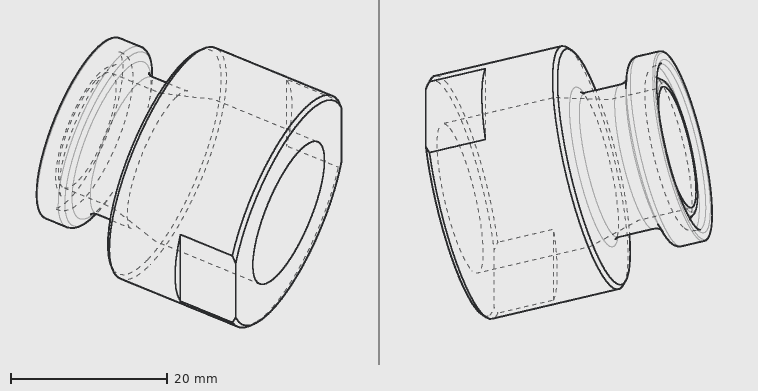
import cadquery as cq
import math

total_length = 30.0
body_start = 12.0

body_radius = 16.0
body_chamfer = 0.5
flat_width_across = 29.0
flat_length = 8.0

neck_radius = 9.5
neck_to_body_round = 1.0
flange_radius = 12.5
flange_front_round = 0.2
flange_rim_length = 3.2
flange_rim_round = 0.75
flange_back_angle = math.radians(20)
flange_to_neck_round = 2.05

groove_mouth_radius = 10.95
groove_mouth_round = 0.5
groove_outer_angle = math.radians(5)
groove_inner_angle = math.radians(37)
groove_round = 0.77
groove_depth = 2.0
lip_setback = 0.8
lip_round = 0.5

bore_radius = 7.95
straight_bore_end = 8.0
bore_cone_end = 15.0
bore_cone_angle = math.radians(15)
socket_radius = bore_radius + (bore_cone_end - straight_bore_end) * math.tan(bore_cone_angle)


def towards(start, end, distance):
    """Point at a distance from start on the way to end."""
    span = math.dist(start, end)
    return tuple(a + (b - a) * distance / span for a, b in zip(start, end))


def rounded_corner(before, corner, after, radius):
    """Start, middle and end of the arc that rounds a corner."""
    to_before = towards(corner, before, 1.0)
    to_after = towards(corner, after, 1.0)
    half_angle = math.asin(math.dist(to_before, to_after) / 2)
    tangent_length = radius / math.tan(half_angle)
    halfway = tuple((a + b) / 2 for a, b in zip(to_before, to_after))
    middle_distance = radius / math.sin(half_angle) - radius
    return (
        towards(corner, before, tangent_length),
        towards(corner, halfway, middle_distance),
        towards(corner, after, tangent_length),
    )


def rounded_outline(corners):
    """Closed outline through corners given as (x, radius, rounding); the first corner is sharp."""
    points = [corner[:2] for corner in corners]
    outline = cq.Workplane("XZ").moveTo(*points[0])
    for i in range(1, len(corners)):
        rounding = corners[i][2]
        if rounding == 0:
            outline = outline.lineTo(*points[i])
            continue
        after = points[(i + 1) % len(points)]
        start, middle, end = rounded_corner(points[i - 1], points[i], after, rounding)
        outline = outline.lineTo(*start).threePointArc(middle, end)
    return outline.close()


def flange_corners():
    """Clamp flange with its sloping back, out to the neck."""
    rim_setback = flange_rim_round * math.tan((math.pi / 2 - flange_back_angle) / 2)
    back_x = flange_rim_length + rim_setback
    slope_run = (flange_radius - neck_radius) * math.tan(flange_back_angle)
    return [
        (0, flange_radius, flange_front_round),
        (back_x, flange_radius, flange_rim_round),
        (back_x + slope_run, neck_radius, flange_to_neck_round),
    ]


def body_corners():
    """Neck shoulder and chamfered cylinder of the body."""
    return [
        (body_start, neck_radius, neck_to_body_round),
        (body_start, body_radius - body_chamfer, 0),
        (body_start + body_chamfer, body_radius, 0),
        (total_length - body_chamfer, body_radius, 0),
        (total_length, body_radius - body_chamfer, 0),
    ]


def bore_corners():
    """Through bore, from the body end back to the lip."""
    return [
        (total_length, socket_radius, 0),
        (bore_cone_end, socket_radius, 0),
        (straight_bore_end, bore_radius, 0),
        (lip_setback, bore_radius, 0),
    ]


def groove_corners():
    """Gasket groove from the lip to the clamp face."""
    outer_slope = math.tan(groove_outer_angle)
    inner_slope = math.tan(groove_inner_angle)
    half_opening = (groove_outer_angle + groove_inner_angle) / 2
    half_difference = (groove_inner_angle - groove_outer_angle) / 2
    bottom_gap = groove_round * (math.cos(half_difference) / math.sin(half_opening) - 1)
    vertex_x = groove_depth + bottom_gap
    vertex_radius = groove_mouth_radius - vertex_x * outer_slope
    lip_edge_radius = vertex_radius - (vertex_x - lip_setback) * inner_slope
    return [
        (lip_setback, lip_edge_radius, lip_round),
        (vertex_x, vertex_radius, groove_round),
        (0, groove_mouth_radius, groove_mouth_round),
    ]


def wrench_flat(side):
    """Block that cuts the wrench flat on the +Y (side = 1) or -Y (side = -1) side."""
    cut_depth = body_radius - flat_width_across / 2
    return (
        cq.Workplane("XY")
        .box(flat_length, cut_depth, 2 * body_radius)
        .translate((total_length - flat_length / 2, side * (body_radius - cut_depth / 2), 0))
    )


corners = bore_corners() + groove_corners() + flange_corners() + body_corners()
result = rounded_outline(corners).revolve(360, (0, 0, 0), (1, 0, 0))
for side in (1, -1):
    result = result.cut(wrench_flat(side))